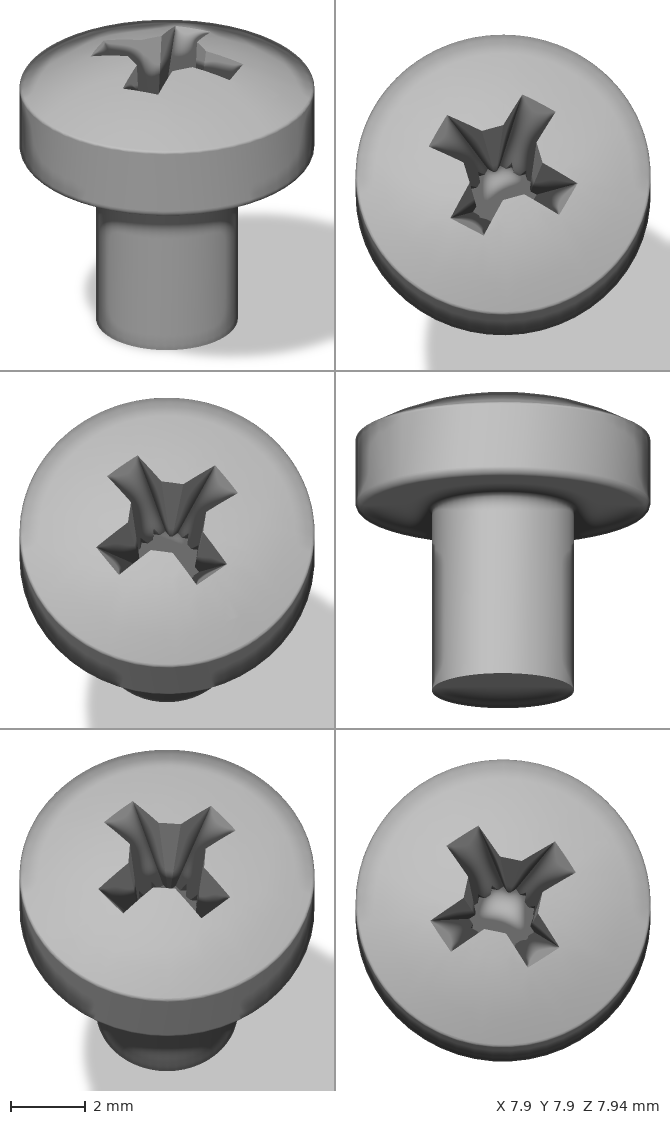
import cadquery as cq
import math

head_diameter = 7.9
shank_diameter = 3.8
shank_length = 4.995
dome_radius = 7.94
rim_radius = 0.1
head_bottom_radius = 0.2
neck_radius = 0.1

wing_width = 1.02
wing_reach = 2.0
core_width = 0.94
core_reach = 1.02
floor_wing_reach = 0.75
recess_depth = 2.78
core_taper = 5.0

overall_height = 7.94


def dome_drop(radius):
    """Fall of the dome below its full apex at a distance from the axis."""
    return dome_radius - math.sqrt(dome_radius**2 - radius**2)


apex_height = overall_height + dome_drop(core_reach)
wing_tip_height = apex_height - dome_drop(wing_reach)
floor_height = wing_tip_height - recess_depth


def circle_at(radius, height):
    """Selector for the circular edge of a given radius and height on the axis."""
    margin = 0.01
    return cq.selectors.BoxSelector(
        (-radius - margin, -radius - margin, height - margin),
        (radius + margin, radius + margin, height + margin),
        boundingbox=True,
    ) - cq.selectors.BoxSelector(
        (-radius + margin, -radius + margin, height - margin),
        (radius - margin, radius - margin, height + margin),
        boundingbox=True,
    )


def make_body():
    head_radius = head_diameter / 2
    shank_radius = shank_diameter / 2
    arc_middle = head_radius / 2
    profile = (
        cq.Workplane("XZ")
        .moveTo(0, 0)
        .lineTo(shank_radius, 0)
        .lineTo(shank_radius, shank_length)
        .lineTo(head_radius, shank_length)
        .lineTo(head_radius, apex_height - dome_drop(head_radius))
        .threePointArc((arc_middle, apex_height - dome_drop(arc_middle)), (0, apex_height))
        .close()
    )
    body = profile.revolve(360, (0, 0, 0), (0, 1, 0))
    rim_height = apex_height - dome_drop(head_radius)
    for radius, height, rounding in (
        (head_radius, rim_height, rim_radius),
        (head_radius, shank_length, head_bottom_radius),
        (shank_radius, shank_length, neck_radius),
    ):
        body = body.edges(circle_at(radius, height)).fillet(rounding)
    return body


def make_recess_bar(width, floor_reach, slope, angle):
    """Bar across the axis, turned by an angle, with end walls sloping in to the floor."""
    top_reach = floor_reach + slope * (apex_height - floor_height)
    return (
        cq.Workplane("XZ")
        .polyline([
            (-floor_reach, floor_height),
            (floor_reach, floor_height),
            (top_reach, apex_height),
            (-top_reach, apex_height),
        ])
        .close()
        .extrude(width / 2, both=True)
        .rotate((0, 0, 0), (0, 0, 1), angle)
    )


wing_slope = (wing_reach - floor_wing_reach) / recess_depth
core_slope = math.tan(math.radians(core_taper))
core_floor_reach = core_reach - core_slope * (overall_height - floor_height)

result = make_body()
for quarter_turn in (0, 90):
    wing_pair = make_recess_bar(wing_width, floor_wing_reach, wing_slope, quarter_turn)
    core_pair = make_recess_bar(core_width, core_floor_reach, core_slope, quarter_turn + 45)
    result = result.cut(wing_pair).cut(core_pair)